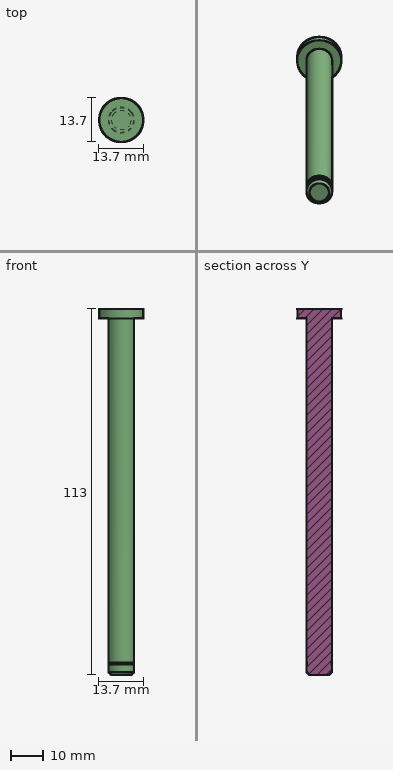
import cadquery as cq

total_length = 113.0
head_diameter = 13.7
head_thickness = 2.9
shank_diameter = 8.0

groove_diameter = 7.6
groove_width = 0.7
groove_bottom = 3.3

tip_chamfer_width = 1.0
tip_chamfer_height = 1.0


def cylinder(diameter, bottom, height):
    """Vertical cylinder about the Z axis."""
    return cq.Workplane("XY").workplane(offset=bottom).circle(diameter / 2).extrude(height)


def make_shank():
    shank = cylinder(shank_diameter, 0, total_length - head_thickness)
    return shank.faces("<Z").edges().chamfer(tip_chamfer_height, tip_chamfer_width)


def make_groove():
    outer = cylinder(head_diameter, groove_bottom, groove_width)
    core = cylinder(groove_diameter, groove_bottom, groove_width)
    return outer.cut(core)


head = cylinder(head_diameter, total_length - head_thickness, head_thickness)
result = make_shank().cut(make_groove()).union(head)